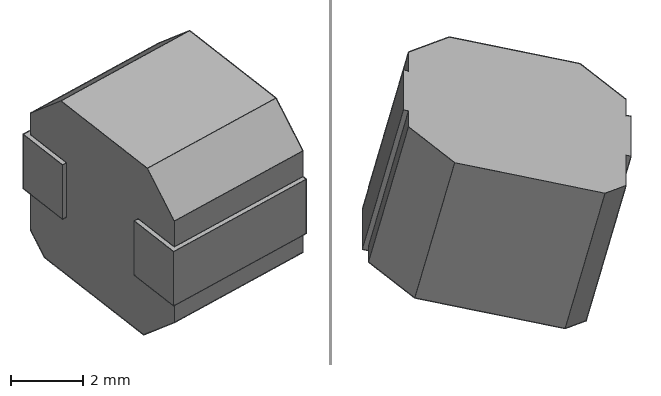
import cadquery as cq

overall_width = 6.5
overall_depth = 4.8
height = 6.2
terminal_thickness = 0.14

large_cut = 1.32
medium_cut = 1.165
small_cut = 0.605

terminal_height = 1.99
terminal_foot = 1.7

body_width = overall_width - 2 * terminal_thickness
body_depth = overall_depth - terminal_thickness
half_width = body_width / 2
half_height = height / 2

front_y = -overall_depth / 2
back_y = overall_depth / 2


def make_body():
    """Block with four 45-degree corner cuts, extruded from the back face."""
    outline = [
        (-half_width + small_cut, -half_height),
        (half_width - large_cut, -half_height),
        (half_width, -half_height + large_cut),
        (half_width, half_height - medium_cut),
        (half_width - medium_cut, half_height),
        (-half_width + large_cut, half_height),
        (-half_width, half_height - large_cut),
        (-half_width, -half_height + small_cut),
    ]
    return (
        cq.Workplane("XZ", origin=(0, back_y, 0))
        .polyline(outline)
        .close()
        .extrude(body_depth)
    )


def make_terminal(side):
    """L-shaped strip along one side; side is -1 for left and 1 for right."""
    outer_x = side * overall_width / 2
    inner_x = side * half_width
    foot_x = outer_x - side * terminal_foot
    foot_back_y = front_y + terminal_thickness
    return (
        cq.Workplane("XY", origin=(0, 0, -terminal_height / 2))
        .polyline([
            (outer_x, back_y),
            (outer_x, front_y),
            (foot_x, front_y),
            (foot_x, foot_back_y),
            (inner_x, foot_back_y),
            (inner_x, back_y),
        ])
        .close()
        .extrude(terminal_height)
    )


result = make_body()
for side in (-1, 1):
    result = result.union(make_terminal(side))